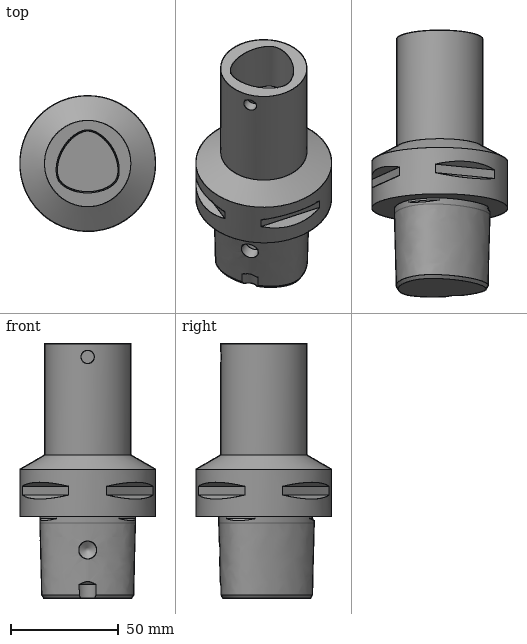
import cadquery as cq
import math

total_height = 118.0
flange_bottom = 37.9
flange_top = 59.8
cone_angle = 30.0

flange_diameter = 63.0
body_diameter = 40.0

shank_radius = 22.2
shank_lobe = 1.3
straight_neck_height = 3.0
taper_per_side = 1 / 40
tip_chamfer_height = 1.7
tip_chamfer_angle = 30.0

relief_radius = 22.5
relief_straight = 1.0
relief_flare_angle = 45.0

socket_radius = 14.6
socket_lobe = 1.0
socket_depth = 24.0

notch_count = 4
notch_height = 12.0
notch_floor_distance = 27.6
notch_floor_width = 4.0
notch_rim_width = 7.8

drill_point_angle = 118.0
shank_hole_diameter = 8.3
shank_hole_z = 22.4
shank_hole_depth = 6.5
key_diameter = 9.2
key_axis_y = -22.3
key_height = 6.4
body_hole_diameter = 6.1
body_hole_drop = 6.1
body_hole_depth = 5.0

PROFILE_POINTS = 36


def polygon_profile(radius, lobe, z):
    """Workplane at height z holding a smooth closed three-lobed outline."""
    points = []
    for index in range(PROFILE_POINTS):
        angle = 2 * math.pi * index / PROFILE_POINTS
        reach = radius - lobe * math.cos(3 * angle)
        slope = 3 * lobe * math.sin(3 * angle)
        x = reach * math.sin(angle) + slope * math.cos(angle)
        y = slope * math.sin(angle) - reach * math.cos(angle)
        points.append((x, y))
    return cq.Workplane("XY", origin=(0, 0, z)).spline(points, periodic=True).wire()


def polygon_frustum(lobe, bottom_radius, bottom_z, top_radius, top_z):
    """Three-lobed solid between two heights, with its own radius at each end."""
    bottom = polygon_profile(bottom_radius, lobe, bottom_z).val()
    top = polygon_profile(top_radius, lobe, top_z).val()
    return cq.Workplane(cq.Solid.makeLoft([bottom, top], True))


def make_shank():
    """Chamfered tip, tapered length and straight neck of the polygon shank."""
    neck_z = flange_bottom - straight_neck_height
    tip_radius = shank_radius - (neck_z - tip_chamfer_height) * taper_per_side
    end_radius = tip_radius - tip_chamfer_height * math.tan(math.radians(tip_chamfer_angle))
    tip = polygon_frustum(shank_lobe, end_radius, 0, tip_radius, tip_chamfer_height)
    taper = polygon_frustum(shank_lobe, tip_radius, tip_chamfer_height, shank_radius, neck_z)
    neck = polygon_frustum(shank_lobe, shank_radius, neck_z, shank_radius, flange_bottom)
    return tip.union(taper).union(neck)


def make_relief():
    """Ring that leaves a round neck with a conical run-out below the flange."""
    outer = flange_diameter / 2
    straight_end = flange_bottom - relief_straight
    flare = (outer - relief_radius) * math.tan(math.radians(relief_flare_angle))
    return (
        cq.Workplane("XZ")
        .moveTo(relief_radius, flange_bottom)
        .lineTo(relief_radius, straight_end)
        .lineTo(outer, straight_end - flare)
        .lineTo(outer, flange_bottom)
        .close()
        .revolve(360, (0, 0, 0), (0, 1, 0))
    )


def make_body():
    """Flange, conical shoulder and cylindrical body."""
    flange_radius = flange_diameter / 2
    body_radius = body_diameter / 2
    cone_top = flange_top + (flange_radius - body_radius) * math.tan(math.radians(cone_angle))
    return (
        cq.Workplane("XZ")
        .moveTo(0, flange_bottom)
        .lineTo(flange_radius, flange_bottom)
        .lineTo(flange_radius, flange_top)
        .lineTo(body_radius, cone_top)
        .lineTo(body_radius, total_height)
        .lineTo(0, total_height)
        .close()
        .revolve(360, (0, 0, 0), (0, 1, 0))
    )


def make_socket():
    """Tapered three-lobed socket that narrows toward its floor."""
    floor_z = total_height - socket_depth
    floor_radius = socket_radius - socket_depth * taper_per_side
    return polygon_frustum(socket_lobe, floor_radius, floor_z, socket_radius, total_height)


def make_notch(angle):
    """Straight trapezoid groove across the rim, facing the given direction."""
    rim = flange_diameter / 2
    floor_half = notch_floor_width / 2
    rim_half = notch_rim_width / 2
    return (
        cq.Workplane("XZ", origin=(0, 0, flange_bottom + notch_height))
        .moveTo(notch_floor_distance, -floor_half)
        .lineTo(rim, -rim_half)
        .lineTo(rim, rim_half)
        .lineTo(notch_floor_distance, floor_half)
        .close()
        .extrude(rim, both=True)
        .rotate((0, 0, 0), (0, 0, 1), angle)
    )


def drill(diameter, depth, start, direction):
    """Drilled hole: a cylinder of the given depth that ends in a conical point."""
    radius = diameter / 2
    point_length = radius / math.tan(math.radians(drill_point_angle / 2))
    start = cq.Vector(*start)
    direction = cq.Vector(*direction)
    cylinder = cq.Solid.makeCylinder(radius, depth, start, direction)
    point = cq.Solid.makeCone(radius, 0, point_length, start + direction * depth, direction)
    return cq.Workplane(cylinder).union(cq.Workplane(point))


result = make_shank().cut(make_relief()).union(make_body()).cut(make_socket())

for index in range(notch_count):
    result = result.cut(make_notch((index + 0.5) * 360 / notch_count))

shank_flat = shank_radius - shank_lobe
shank_hole = drill(
    shank_hole_diameter,
    shank_hole_depth,
    (0, -shank_flat, shank_hole_z),
    (0, 1, 0),
)

key_slot = drill(key_diameter, key_height, (0, key_axis_y, 0), (0, 0, 1))

body_hole = cq.Workplane(
    cq.Solid.makeCylinder(
        body_hole_diameter / 2,
        body_hole_depth,
        cq.Vector(0, -body_diameter / 2, total_height - body_hole_drop),
        cq.Vector(0, 1, 0),
    )
)
result = result.cut(shank_hole).cut(key_slot).cut(body_hole)